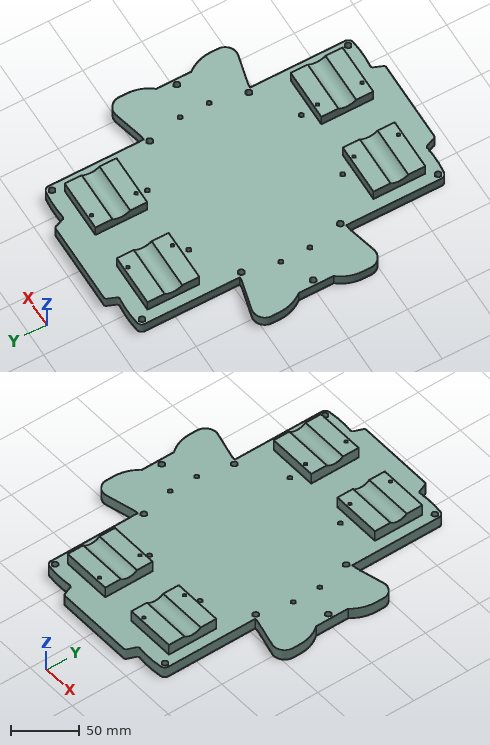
import cadquery as cq
import math

length = 280.0
width = 221.5
total_height = 20.0
plate_thickness = total_height / 2
block_height = total_height - plate_thickness

body_half_width = 69.7
shoulder_y = 130.2
shoulder_bulge = 0.8
corner_radius = 4.5
tab_tip_half_width = 36.0
tab_root_half_width = 40.0
tab_radius = 2.0

ear_radius = 10.0
ear_center_y = 42.0
ear_slope = math.radians(14.3)
ear_root_radius = 20.0
ear_flat_end_y = 35.5
waist_half_width = 103.3
waist_half_length = 14.8
ear_flank_radius = 32.5

mount_hole_diameter = 5.0
corner_hole = (65.2, 125.5)
ear_root_hole = (66.5, 42.0)
waist_hole_x = 98.8
small_hole_diameter = 3.5
inner_hole = (30.0, 65.2)
outer_hole = (73.0, 12.3)

block_size_x = 44.5
block_size_y = 44.0
block_center = (37.8, 95.8)
groove_width = 15.0
groove_depth = 2.8
pin_hole_diameter = 2.5
pin_hole_x = 26.3
pin_hole_spacing = 37.8

half_length = length / 2
half_width = width / 2


def in_all_quadrants(point):
    x, y = point
    return [(sx * x, sy * y) for sx in (1, -1) for sy in (1, -1)]


def make_quadrant():
    """Quarter of the plate with x > 0 and y > 0, outlined from the tab round to the waist."""
    shoulder_end_x = body_half_width - corner_radius
    shoulder_mid_x = (tab_root_half_width + shoulder_end_x) / 2
    corner_mid = corner_radius * math.sqrt(0.5)
    corner_center_y = shoulder_y - corner_radius

    ear_center_x = half_width - ear_radius
    slope_top_x = ear_center_x - ear_radius * math.sin(ear_slope)
    slope_top_y = ear_center_y + ear_radius * math.cos(ear_slope)
    tip_angle = (math.pi / 2 + ear_slope) / 2
    tip_mid_x = ear_center_x + ear_radius * math.cos(tip_angle)
    tip_mid_y = ear_center_y + ear_radius * math.sin(tip_angle)

    slope_root_x = body_half_width + ear_root_radius * math.sin(ear_slope)
    slope_root_y = slope_top_y - (slope_top_x - slope_root_x) * math.tan(ear_slope)
    root_y = slope_root_y - ear_root_radius * (1 - math.cos(ear_slope))

    outline = (
        cq.Workplane("XY")
        .lineTo(0, half_length)
        .lineTo(tab_tip_half_width, half_length)
        .lineTo(tab_root_half_width, shoulder_y)
        .threePointArc((shoulder_mid_x, shoulder_y + shoulder_bulge), (shoulder_end_x, shoulder_y))
        .threePointArc(
            (shoulder_end_x + corner_mid, corner_center_y + corner_mid),
            (body_half_width, corner_center_y),
        )
        .lineTo(body_half_width, root_y)
        .radiusArc((slope_root_x, slope_root_y), -ear_root_radius)
        .lineTo(slope_top_x, slope_top_y)
        .threePointArc((tip_mid_x, tip_mid_y), (half_width, ear_center_y))
        .lineTo(half_width, ear_flat_end_y)
        .radiusArc((waist_half_width, waist_half_length), ear_flank_radius)
        .lineTo(waist_half_width, 0)
        .close()
    )
    quadrant = outline.extrude(plate_thickness)
    for x, y in ((tab_tip_half_width, half_length), (tab_root_half_width, shoulder_y)):
        corner = cq.selectors.NearestToPointSelector((x, y, plate_thickness / 2))
        quadrant = quadrant.edges(corner).fillet(tab_radius)
    return quadrant


def make_plate():
    quadrant = make_quadrant()
    half = quadrant.union(quadrant.mirror("YZ"))
    plate = half.union(half.mirror("XZ")).clean()
    mount_holes = in_all_quadrants(corner_hole) + in_all_quadrants(ear_root_hole)
    mount_holes += [(waist_hole_x, 0), (-waist_hole_x, 0)]
    small_holes = in_all_quadrants(inner_hole) + in_all_quadrants(outer_hole)
    for points, diameter in ((mount_holes, mount_hole_diameter), (small_holes, small_hole_diameter)):
        cutter = cq.Workplane("XY").pushPoints(points).circle(diameter / 2).extrude(plate_thickness)
        plate = plate.cut(cutter)
    return plate


def make_blocks():
    """Blocks with a shallow round groove along X and two pin holes down to the plate."""
    blocks = (
        cq.Workplane("XY", origin=(0, 0, plate_thickness))
        .pushPoints(in_all_quadrants(block_center))
        .rect(block_size_x, block_size_y)
        .extrude(block_height)
    )
    groove_radius = (groove_width**2 / 4 + groove_depth**2) / (2 * groove_depth)
    groove_axis_z = total_height - groove_depth + groove_radius
    center_y = block_center[1]
    grooves = (
        cq.Workplane("YZ")
        .pushPoints([(center_y, groove_axis_z), (-center_y, groove_axis_z)])
        .circle(groove_radius)
        .extrude(half_width, both=True)
    )
    pin_holes = []
    for offset in (-pin_hole_spacing / 2, pin_hole_spacing / 2):
        pin_holes += in_all_quadrants((pin_hole_x, center_y + offset))
    pin_cutter = (
        cq.Workplane("XY", origin=(0, 0, plate_thickness))
        .pushPoints(pin_holes)
        .circle(pin_hole_diameter / 2)
        .extrude(block_height)
    )
    return blocks.cut(grooves).cut(pin_cutter)


result = make_plate().union(make_blocks())